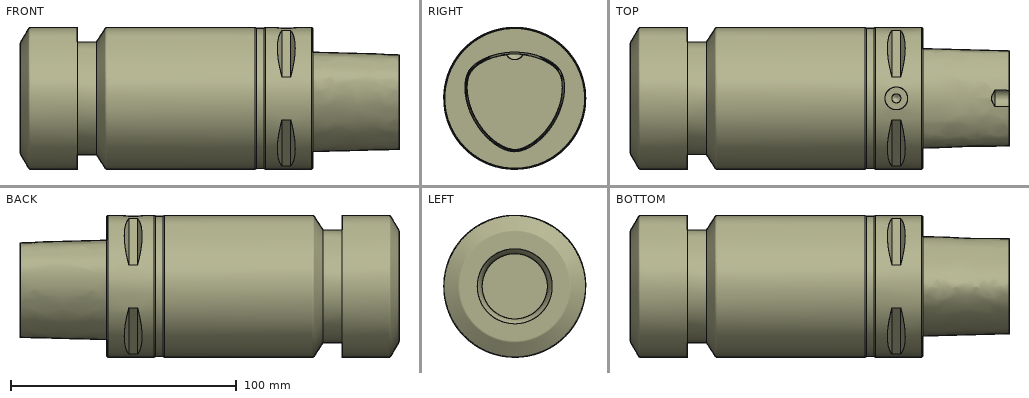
import cadquery as cq
import math

total_length = 168.0
body_diameter = 63.0
neck_diameter = 50.0
shoulder_x = 129.7
body_radius = body_diameter / 2
neck_radius = neck_diameter / 2

nut_length = 25.4
nut_face_radius = 24.7
nut_chamfer_length = 4.0
body_start_x = 33.8
body_chamfer_length = 4.2
shoulder_chamfer = 0.5
nut_face_fillet = 1.3
corner_fillet = 1.0

groove_start_x = 104.0
groove_end_x = 108.7
groove_wall_length = 0.7
groove_radius = 62.3 / 2

mouth_radius = 16.6
bore_radius = 14.5
mouth_depth = 6.0
lip_end_x = 7.0
relief_radius = 19.3
ledge_x = 10.5
bore_depth = 58.8

slot_x = 118.0
slot_count = 4
slot_floor_distance = 27.97
slot_floor_width = 3.9
slot_flank_angle = 30.0
hole_diameter = 10.0
hole_depth = 5.0
pilot_diameter = 4.0
pilot_depth = 5.0
drill_tip_angle = 118.0

shank_root_radius = 22.1
shank_tip_radius = 21.08
lobe_height = 1.6
lobe_count = 3
lobe_direction = -math.pi / 2
outline_points = 48

keyway_diameter = 8.0
keyway_length = 6.4
keyway_axis_z = 21.2


def revolve_about_x(profile):
    """Revolve an outline of (x, radius) points about the X axis."""
    return profile.close().revolve(360, (0, 0, 0), (1, 0, 0))


def make_body():
    profile = (
        cq.Workplane("XY")
        .moveTo(0, 0)
        .lineTo(0, nut_face_radius)
        .lineTo(nut_chamfer_length, body_radius)
        .lineTo(nut_length, body_radius)
        .lineTo(nut_length, neck_radius)
        .lineTo(body_start_x, neck_radius)
        .lineTo(body_start_x + body_chamfer_length, body_radius)
        .lineTo(groove_start_x, body_radius)
        .lineTo(groove_start_x + groove_wall_length, groove_radius)
        .lineTo(groove_end_x - groove_wall_length, groove_radius)
        .lineTo(groove_end_x, body_radius)
        .lineTo(shoulder_x - shoulder_chamfer, body_radius)
        .lineTo(shoulder_x, body_radius - shoulder_chamfer)
        .lineTo(shoulder_x, 0)
    )
    body = revolve_about_x(profile)
    for edge_x, fillet in (
        (0, nut_face_fillet),
        (nut_chamfer_length, corner_fillet),
        (body_start_x + body_chamfer_length, corner_fillet),
    ):
        edge = cq.selectors.BoxSelector(
            (edge_x - 0.2, -body_diameter, -body_diameter),
            (edge_x + 0.2, body_diameter, body_diameter),
        )
        body = body.edges("%CIRCLE").edges(edge).fillet(fillet)
    return body


def make_bore():
    """Rounded mouth, narrow lip, wider relief behind it, then a blind bore."""
    mouth_step = mouth_radius - bore_radius
    mouth_arc_radius = (mouth_depth**2 + mouth_step**2) / (2 * mouth_step)
    profile = (
        cq.Workplane("XY")
        .moveTo(0, 0)
        .lineTo(0, mouth_radius)
        .radiusArc((mouth_depth, bore_radius), -mouth_arc_radius)
        .lineTo(lip_end_x, bore_radius)
        .lineTo(lip_end_x, relief_radius)
        .lineTo(ledge_x, relief_radius)
        .lineTo(ledge_x, bore_radius)
        .lineTo(bore_depth, bore_radius)
        .lineTo(bore_depth, 0)
    )
    return revolve_about_x(profile)


def lobed_point(mean_radius, angle):
    """Point on a three-lobed curve whose edge distance varies as a cosine."""
    phase = lobe_count * (angle - lobe_direction)
    distance = mean_radius + lobe_height * math.cos(phase)
    slope = -lobe_count * lobe_height * math.sin(phase)
    y = distance * math.cos(angle) - slope * math.sin(angle)
    z = distance * math.sin(angle) + slope * math.cos(angle)
    return y, z


def lobed_outline(mean_radius):
    step = 2 * math.pi / outline_points
    return [lobed_point(mean_radius, i * step) for i in range(outline_points)]


def make_shank():
    return (
        cq.Workplane("YZ", origin=(shoulder_x, 0, 0))
        .spline(lobed_outline(shank_root_radius), periodic=True)
        .close()
        .workplane(offset=total_length - shoulder_x)
        .spline(lobed_outline(shank_tip_radius), periodic=True)
        .close()
        .loft(ruled=True, combine=True)
    )


def make_slot():
    """Straight slot across the top of the body with flaring flanks."""
    depth = body_radius - slot_floor_distance
    floor_half = slot_floor_width / 2
    top_half = floor_half + depth * math.tan(math.radians(slot_flank_angle))
    return (
        cq.Workplane("XZ")
        .polyline([
            (slot_x - floor_half, slot_floor_distance),
            (slot_x + floor_half, slot_floor_distance),
            (slot_x + top_half, body_radius),
            (slot_x - top_half, body_radius),
        ])
        .close()
        .extrude(body_radius, both=True)
    )


def make_drill(diameter, straight_length):
    """Drilled hole along -Z from the origin, ending in a conical tip."""
    radius = diameter / 2
    tip_length = radius / math.tan(math.radians(drill_tip_angle / 2))
    return (
        cq.Workplane("XZ")
        .polyline([
            (0, 0),
            (radius, 0),
            (radius, -straight_length),
            (0, -straight_length - tip_length),
        ])
        .close()
        .revolve(360, (0, 0, 0), (0, 1, 0))
    )


def make_radial_hole():
    counterbore = cq.Workplane("XY").circle(hole_diameter / 2).extrude(-hole_depth)
    pilot = make_drill(pilot_diameter, hole_depth + pilot_depth)
    return counterbore.union(pilot).translate((slot_x, 0, body_radius))


def make_keyway():
    drill = make_drill(keyway_diameter, keyway_length)
    along_x = drill.rotate((0, 0, 0), (0, 1, 0), 90)
    return along_x.translate((total_length, 0, keyway_axis_z))


result = make_body().union(make_shank()).cut(make_bore())
slot_spacing = 360 / slot_count
for slot_index in range(slot_count):
    slot_angle = (slot_index + 0.5) * slot_spacing
    result = result.cut(make_slot().rotate((0, 0, 0), (1, 0, 0), slot_angle))
result = result.cut(make_radial_hole()).cut(make_keyway())